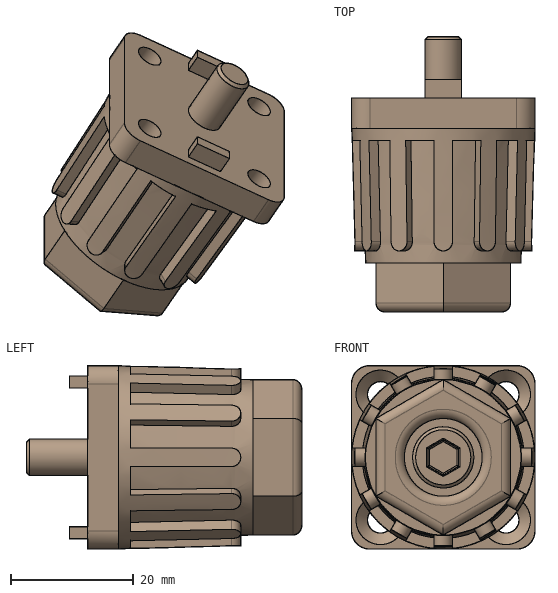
import cadquery as cq
import math


flange_side = 30.0
flange_thickness = 5.0
flange_corner_radius = 3.0
hole_offset = 10.25
hole_diameter = 4.2
countersink_diameter = 8.0
countersink_angle = 90.0
tab_width = 6.0
tab_height = 2.0
tab_length = 3.0
tab_offset = 12.3

draft_slope = math.tan(math.radians(1.5))
collar_length = 2.0
grip_length = 22.0
grip_base_radius = 15.0
rib_count = 12
rib_width = 3.0
rib_tip_gap = 2.0
hex_flats = 22.0
hex_length = 8.0
hex_edge_radius = 1.5
bore_diameter = 12.7
bore_edge_radius = 1.5

shank_diameter = 6.0
shank_projection = 10.0
shank_chamfer = 0.5
head_diameter = 10.0
head_length = 6.0
head_chamfer = 0.5
head_recess = 3.0
socket_flats = 5.0
socket_depth = 4.0
socket_chamfer = 0.2
socket_floor_bevel = 0.25

flange_front = -flange_thickness
collar_end = flange_front - collar_length
grip_end = flange_front - grip_length
rib_tip = grip_end + rib_tip_gap
hex_end = grip_end - hex_length
head_front = hex_end + head_recess
head_seat = head_front + head_length

hex_corner_radius = hex_flats / 2 / math.cos(math.pi / 6)


def plane_at(y):
    """Sketch plane facing -Y at the given Y, with local X along +X and local Y along +Z."""
    return cq.Workplane(cq.Plane(origin=(0, y, 0), xDir=(1, 0, 0), normal=(0, -1, 0)))


def hexagon(y, flats, length):
    """Hexagonal prism running toward -Y, with corners on +Z and -Z."""
    prism = plane_at(y).polygon(6, flats / math.cos(math.pi / 6)).extrude(length)
    half_sector = 360 / 6 / 2
    return prism.rotate((0, 0, 0), (0, 1, 0), half_sector)


def revolve_about_y(points):
    """Solid of revolution about Y from (radius, y) points."""
    return cq.Workplane("XY").polyline(points).close().revolve(360, (0, 0, 0), (0, 1, 0))


def make_flange():
    body = plane_at(0).rect(flange_side, flange_side).extrude(flange_thickness)
    body = body.edges("|Y").fillet(flange_corner_radius)
    body = (
        body.faces("<Y").workplane(centerOption="CenterOfBoundBox")
        .rect(2 * hole_offset, 2 * hole_offset, forConstruction=True).vertices()
        .cskHole(hole_diameter, countersink_diameter, countersink_angle)
    )
    for side in (-1, 1):
        tab = plane_at(0).center(0, side * tab_offset).rect(tab_width, tab_height).extrude(-tab_length)
        body = body.union(tab)
    return body.cut(plane_at(0).circle(shank_diameter / 2).extrude(flange_thickness))


def make_ribs():
    """Round-ended ribs, running from the collar and trimmed to the drafted outer cone."""
    rib_tip_radius = grip_base_radius - draft_slope * (flange_front - rib_tip)
    envelope = revolve_about_y([
        (0, flange_front), (grip_base_radius, flange_front), (rib_tip_radius, rib_tip), (0, rib_tip),
    ])
    half_width = rib_width / 2
    straight_end = rib_tip + half_width
    bar = (
        cq.Workplane("XY")
        .moveTo(-half_width, flange_front)
        .lineTo(-half_width, straight_end)
        .threePointArc((0, rib_tip), (half_width, straight_end))
        .lineTo(half_width, flange_front)
        .close()
        .extrude(grip_base_radius)
    )
    ribs = bar
    for index in range(1, rib_count):
        ribs = ribs.union(bar.rotate((0, 0, 0), (0, 1, 0), index * 360 / rib_count))
    return ribs.intersect(envelope)


def make_knob():
    collar_end_radius = grip_base_radius - draft_slope * collar_length
    core_base_radius = hex_corner_radius + draft_slope * (collar_end - grip_end)
    body = revolve_about_y([
        (0, flange_front),
        (grip_base_radius, flange_front),
        (collar_end_radius, collar_end),
        (core_base_radius, collar_end),
        (hex_corner_radius, grip_end),
        (0, grip_end),
    ])
    body = body.union(make_ribs())
    head = hexagon(grip_end, hex_flats, hex_length).faces("<Y").edges().fillet(hex_edge_radius)
    body = body.union(head)
    bore = plane_at(head_seat).circle(bore_diameter / 2).extrude(head_seat - hex_end)
    body = body.cut(bore)
    body = body.faces("<Y").edges("%CIRCLE").fillet(bore_edge_radius)
    return body.cut(plane_at(flange_front).circle(shank_diameter / 2).extrude(flange_front - head_seat))


def make_screw():
    shank_radius = shank_diameter / 2
    head_radius = head_diameter / 2
    body = revolve_about_y([
        (0, shank_projection),
        (shank_radius - shank_chamfer, shank_projection),
        (shank_radius, shank_projection - shank_chamfer),
        (shank_radius, head_seat),
        (head_radius, head_seat),
        (head_radius, head_front + head_chamfer),
        (head_radius - head_chamfer, head_front),
        (0, head_front),
    ])
    socket = hexagon(head_front + socket_depth, socket_flats, socket_depth)
    socket = socket.faces(">Y").edges().chamfer(socket_floor_bevel)
    body = body.cut(socket)
    return body.faces("<Y").edges("%LINE").chamfer(socket_chamfer)


flange = make_flange()
knob = make_knob()
screw = make_screw()

result = cq.Compound.makeCompound([flange.val(), knob.val(), screw.val()])